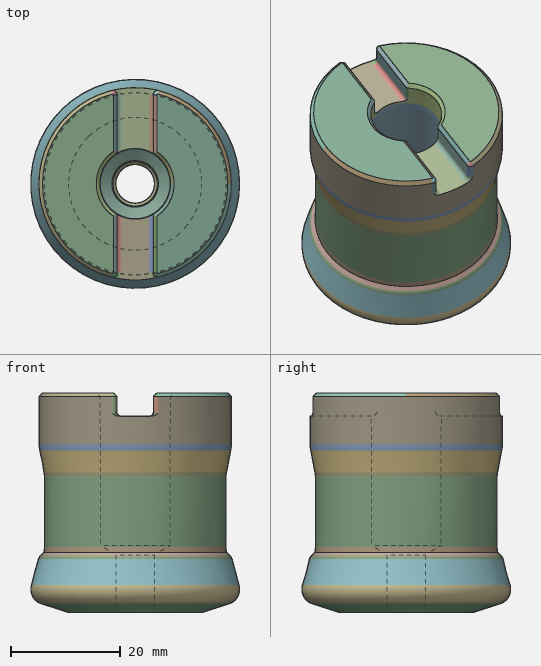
import cadquery as cq
import math

TOP_Z = 40.0
SEAT_Z = 11.0

RIM_D = 35.0
NECK_D = 33.1
TAPER_TOP_Z = 30.0
TAPER_BOTTOM_Z = 25.0
RIM_BEND_R = 5.6
NECK_BEND_R = 4.8
NECK_END_Z = 11.9
SEAT_D = 33.25
TOP_CHAMFER = 0.65

BORE_ENTRY_D = 12.9
BORE_D = 12.7
BORE_ENTRY_END_Z = 35.2
BORE_START_Z = 34.1
FUNNEL_END_D = 8.5
FUNNEL_ANGLE = math.radians(30)

SLOT_WIDTH = 6.6
SLOT_DEPTH = 4.25
SLOT_FLOOR_R = 0.75
RIM_FLARE_R = 0.8
BORE_FLARE_R = 0.7
CUTTER_REACH = 2.0

FOOT_D = 38.05
FOOT_EDGE_R = 2.8
FOOT_EDGE_Z = 4.3
SIDE_ANGLE = math.radians(15)
BASE_ANGLE = math.radians(18)
SIDE_TOP_Z = 9.75
SHOULDER_D = 34.55
SHOULDER_Z = 10.35

HOLE_D = 7.0
COUNTERSINK_D = 8.1


def make_foot():
    """Turned foot with a rounded edge between its side cone and its base cone."""
    edge_centre_r = FOOT_D / 2 - FOOT_EDGE_R

    def edge_point(angle):
        return (edge_centre_r + FOOT_EDGE_R * math.cos(angle), FOOT_EDGE_Z + FOOT_EDGE_R * math.sin(angle))

    base_r, base_z = edge_point(BASE_ANGLE - math.pi / 2)
    side_r, side_z = edge_point(SIDE_ANGLE)
    flat_r = base_r - base_z / math.tan(BASE_ANGLE)
    side_top_r = side_r - (SIDE_TOP_Z - side_z) * math.tan(SIDE_ANGLE)
    countersink_depth = (COUNTERSINK_D - HOLE_D) / 2
    profile = (
        cq.Workplane("XZ")
        .moveTo(HOLE_D / 2, 0)
        .lineTo(flat_r, 0)
        .lineTo(base_r, base_z)
        .threePointArc(edge_point(0), (side_r, side_z))
        .lineTo(side_top_r, SIDE_TOP_Z)
        .tangentArcPoint((SHOULDER_D / 2, SHOULDER_Z), relative=False)
        .lineTo(SEAT_D / 2, SEAT_Z)
        .lineTo(COUNTERSINK_D / 2, SEAT_Z)
        .lineTo(HOLE_D / 2, SEAT_Z - countersink_depth)
        .close()
    )
    return profile.revolve(360, (0, 0, 0), (0, 1, 0))


def make_sleeve_blank():
    """Turned sleeve with its stepped bore and the conical funnel at the bore's bottom."""
    rim_r = RIM_D / 2
    neck_r = NECK_D / 2
    bore_r = BORE_D / 2
    entry_r = BORE_ENTRY_D / 2
    funnel_top_z = SEAT_Z + (bore_r - FUNNEL_END_D / 2) * math.tan(FUNNEL_ANGLE)
    taper_angle = math.atan((rim_r - neck_r) / (TAPER_TOP_Z - TAPER_BOTTOM_Z))

    def bend_points(corner_r, corner_z, bend_r, above_is_taper):
        """Upper and lower tangent points of a bend between a cylinder and the taper."""
        setback = bend_r * math.tan(taper_angle / 2)
        along_taper = (setback * math.sin(taper_angle), setback * math.cos(taper_angle))
        if above_is_taper:
            return (corner_r + along_taper[0], corner_z + along_taper[1]), (corner_r, corner_z - setback)
        return (corner_r, corner_z + setback), (corner_r - along_taper[0], corner_z - along_taper[1])

    rim_bend_top, rim_bend_bottom = bend_points(rim_r, TAPER_TOP_Z, RIM_BEND_R, False)
    neck_bend_top, neck_bend_bottom = bend_points(neck_r, TAPER_BOTTOM_Z, NECK_BEND_R, True)
    profile = (
        cq.Workplane("XZ")
        .moveTo(entry_r, TOP_Z)
        .lineTo(rim_r, TOP_Z)
        .lineTo(*rim_bend_top)
        .tangentArcPoint(rim_bend_bottom, relative=False)
        .lineTo(*neck_bend_top)
        .tangentArcPoint(neck_bend_bottom, relative=False)
        .lineTo(neck_r, NECK_END_Z)
        .lineTo(SEAT_D / 2, SEAT_Z)
        .lineTo(FUNNEL_END_D / 2, SEAT_Z)
        .lineTo(bore_r, funnel_top_z)
        .lineTo(bore_r, BORE_START_Z)
        .lineTo(entry_r, BORE_ENTRY_END_Z)
        .close()
    )
    return profile.revolve(360, (0, 0, 0), (0, 1, 0))


def make_slot_cutter():
    """Half of the slot on the +Y side, flaring at both ends and rounded along the floor."""
    rim_r = RIM_D / 2
    bore_r = BORE_ENTRY_D / 2
    wall_x = SLOT_WIDTH / 2
    bore_flare_x = wall_x + BORE_FLARE_R
    rim_flare_x = wall_x + RIM_FLARE_R
    bore_flare_y = math.sqrt((bore_r + BORE_FLARE_R) ** 2 - bore_flare_x**2)
    rim_flare_y = math.sqrt((rim_r - RIM_FLARE_R) ** 2 - rim_flare_x**2)
    bore_angle = math.atan2(bore_flare_y, bore_flare_x)
    rim_angle = math.atan2(rim_flare_y, rim_flare_x)
    bore_touch = (bore_r * math.cos(bore_angle), bore_r * math.sin(bore_angle))
    rim_touch = (rim_r * math.cos(rim_angle), rim_r * math.sin(rim_angle))
    tangent_end = (
        rim_touch[0] + CUTTER_REACH * math.sin(rim_angle),
        rim_touch[1] - CUTTER_REACH * math.cos(rim_angle),
    )
    outer_corner = (
        tangent_end[0] + CUTTER_REACH * math.cos(rim_angle),
        tangent_end[1] + CUTTER_REACH * math.sin(rim_angle),
    )
    outline = (
        cq.Workplane("XY", origin=(0, 0, TOP_Z - SLOT_DEPTH))
        .lineTo(*bore_touch)
        .radiusArc((wall_x, bore_flare_y), BORE_FLARE_R)
        .lineTo(wall_x, rim_flare_y)
        .radiusArc(rim_touch, RIM_FLARE_R)
        .lineTo(*tangent_end)
        .lineTo(*outer_corner)
        .lineTo(0, rim_r + CUTTER_REACH)
        .mirrorY()
    )
    cutter = outline.extrude(SLOT_DEPTH + CUTTER_REACH)
    return cutter.faces("<Z").edges("|Y").fillet(SLOT_FLOOR_R)


def make_sleeve():
    """Sleeve with the slot across its top and every top edge chamfered."""
    sleeve = make_sleeve_blank()
    for turn in (0, 180):
        sleeve = sleeve.cut(make_slot_cutter().rotate((0, 0, 0), (0, 0, 1), turn))
    return sleeve.faces(">Z").edges().chamfer(TOP_CHAMFER)


foot = make_foot()
sleeve = make_sleeve()
result = cq.Compound.makeCompound([foot.val(), sleeve.val()])